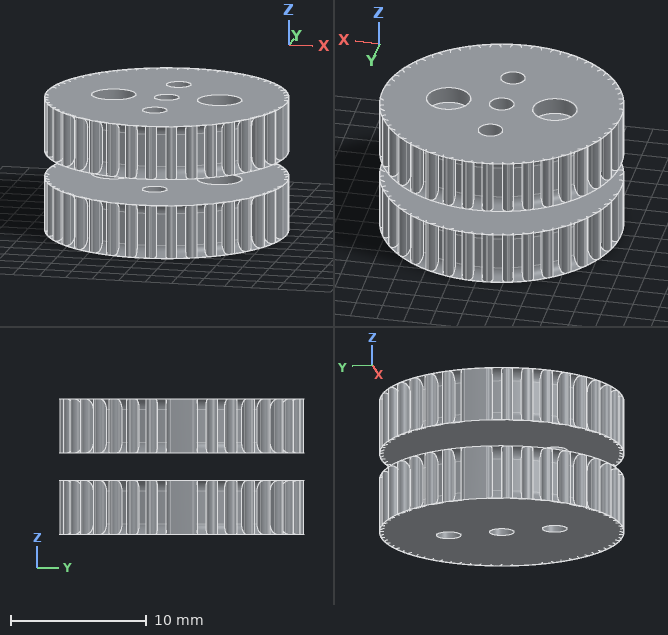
import cadquery as cq
import math

wheel_radius = 9.0
total_height = 10.0
wheel_gap = 2.0
wheel_height = (total_height - wheel_gap) / 2

groove_count = 36
groove_pitch = 360 / groove_count
groove_width = 0.7
tooth_round = 0.36
groove_depth = 0.8
cut_margin = 0.18
filled_grooves = (0, groove_count // 2)

hole_diameter = 1.8
pocket_diameter = 3.25
pocket_depth = 1.25
hole_offset = 4.0


def groove_prism():
    """One groove on the +X side as a full-height prism, widening over the rounded teeth."""
    half_width = groove_width / 2
    centre_y = half_width + tooth_round
    centre_x = math.sqrt((wheel_radius - tooth_round) ** 2 - centre_y ** 2)
    tip_angle = math.atan2(centre_y, centre_x)
    tip_x = wheel_radius * math.cos(tip_angle)
    tip_y = wheel_radius * math.sin(tip_angle)
    middle_angle = (tip_angle - math.pi / 2) / 2
    middle_x = centre_x + tooth_round * math.cos(middle_angle)
    middle_y = centre_y + tooth_round * math.sin(middle_angle)
    inner_x = wheel_radius - groove_depth - cut_margin
    outer_x = wheel_radius + cut_margin
    return (
        cq.Workplane("XY")
        .moveTo(inner_x, -half_width)
        .lineTo(centre_x, -half_width)
        .threePointArc((middle_x, -middle_y), (tip_x, -tip_y))
        .lineTo(outer_x, -tip_y)
        .lineTo(outer_x, tip_y)
        .lineTo(tip_x, tip_y)
        .threePointArc((middle_x, middle_y), (centre_x, half_width))
        .lineTo(inner_x, half_width)
        .close()
        .extrude(wheel_height)
    )


def groove_ring():
    """Ring of the groove depth whose floor flares out to the rim at both ends."""
    floor_radius = wheel_radius - groove_depth
    arc_reach = groove_depth * math.sqrt(0.5)
    outer_radius = wheel_radius + cut_margin
    return (
        cq.Workplane("XZ")
        .moveTo(wheel_radius, 0)
        .threePointArc((wheel_radius - arc_reach, groove_depth - arc_reach), (floor_radius, groove_depth))
        .lineTo(floor_radius, wheel_height - groove_depth)
        .threePointArc(
            (wheel_radius - arc_reach, wheel_height - groove_depth + arc_reach),
            (wheel_radius, wheel_height),
        )
        .lineTo(outer_radius, wheel_height)
        .lineTo(outer_radius, 0)
        .close()
        .revolve(360, (0, 0, 0), (0, 1, 0))
    )


def toothed_wheel():
    """Wheel standing on Z = 0, with three through holes and two blind pockets in the top face."""
    groove = groove_prism().intersect(groove_ring()).val()
    grooves = [
        groove.rotate(cq.Vector(0, 0, 0), cq.Vector(0, 0, 1), index * groove_pitch)
        for index in range(groove_count)
        if index not in filled_grooves
    ]
    disc = cq.Workplane("XY").circle(wheel_radius).extrude(wheel_height)
    wheel = cq.Workplane(disc.val().cut(*grooves))
    top = wheel.faces(">Z").workplane(origin=(0, 0, wheel_height))
    wheel = (
        top.pushPoints([(0, -hole_offset), (0, 0), (0, hole_offset)])
        .hole(hole_diameter)
    )
    top = wheel.faces(">Z").workplane(origin=(0, 0, wheel_height))
    return (
        top.pushPoints([(-hole_offset, 0), (hole_offset, 0)])
        .hole(pocket_diameter, pocket_depth)
    )


wheel_bottoms = [0, total_height - wheel_height]
wheel = toothed_wheel()
wheels = [wheel.translate((0, 0, bottom)) for bottom in wheel_bottoms]

result = cq.Compound.makeCompound([copy.val() for copy in wheels])